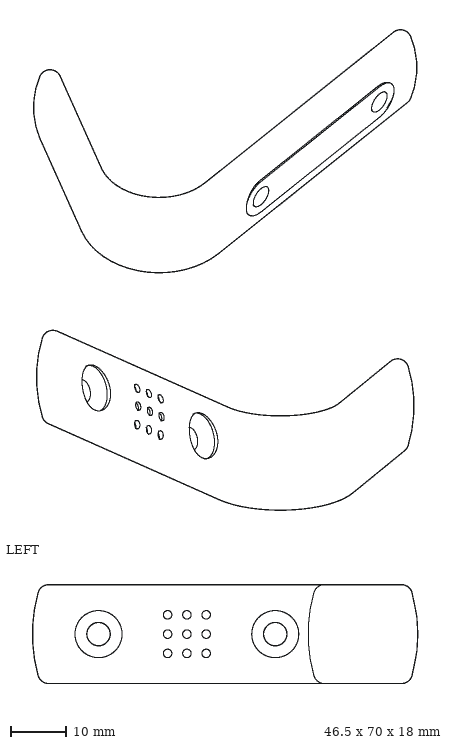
import cadquery as cq
import math

total_x = 46.5
total_y = 70.0
strip_width = 18.0
crest_half = 3.0
edge_radius = 2.0

bend_start_y = 15.9
bend_angle = 120.0

hole_spacing = 32.05
top_hole_y = 57.95
hole_diameter = 4.2
countersink_diameter = 8.55
countersink_angle = 90.0
countersink_rim_depth = 0.8

dimple_diameter = 1.55
dimple_pitch = 3.5
dimples_per_row = 3
middle_dimple_depth = 0.55
outer_dimple_depth = 1.1

pad_width = 8.0

bend_radius = bend_start_y - crest_half
leg_x = total_x - crest_half
leg_top_y = total_y - crest_half
bend_x = leg_x - bend_radius
bend_rad = math.radians(-bend_angle)
arm_start_x = bend_x + bend_radius * math.cos(bend_rad)
arm_start_y = bend_start_y + bend_radius * math.sin(bend_rad)
arm_slope = bend_angle - 90.0
arm_length = (arm_start_x - crest_half) / math.cos(math.radians(arm_slope))
hole_ys = (top_hole_y, top_hole_y - hole_spacing)
middle_y = top_hole_y - hole_spacing / 2
front_x = leg_x - crest_half

edge_center = strip_width / 2 - edge_radius
crest_rise = crest_half - edge_radius
face_radius = (edge_center**2 + crest_half**2 - edge_radius**2) / (2 * crest_rise)
face_center = crest_half - face_radius
tangent_angle = math.atan2(edge_center, -face_center)
tangent_x = edge_radius * math.cos(tangent_angle)
tangent_z = edge_center + edge_radius * math.sin(tangent_angle)


def section(plane):
    """Full cross-section, thickness along local x and width along local y."""
    return (
        cq.Workplane(plane)
        .moveTo(tangent_x, -tangent_z)
        .threePointArc((crest_half, 0), (tangent_x, tangent_z))
        .threePointArc((0, strip_width / 2), (-tangent_x, tangent_z))
        .threePointArc((-crest_half, 0), (-tangent_x, -tangent_z))
        .threePointArc((0, -strip_width / 2), (tangent_x, -tangent_z))
        .close()
    )


def rounded_end(plane):
    """Half of the cross-section spun half a turn about its width axis, bulging along the plane normal."""
    corner = edge_radius * math.sqrt(0.5)
    return (
        cq.Workplane(plane)
        .moveTo(0, -strip_width / 2)
        .threePointArc((corner, -edge_center - corner), (tangent_x, -tangent_z))
        .threePointArc((crest_half, 0), (tangent_x, tangent_z))
        .threePointArc((corner, edge_center + corner), (0, strip_width / 2))
        .close()
        .revolve(180, (0, 0, 0), (0, -1, 0))
    )


def strip():
    """Straight leg, bend, angled arm and the two rounded ends."""
    leg_plane = cq.Plane(origin=(leg_x, bend_start_y, 0), xDir=(1, 0, 0), normal=(0, 1, 0))
    leg_length = leg_top_y - bend_start_y
    leg = section(leg_plane).extrude(leg_length)
    bend = section(leg_plane).revolve(bend_angle, (-bend_radius, 0, 0), (-bend_radius, 1, 0))
    slope = math.radians(arm_slope)
    arm_plane = cq.Plane(
        origin=(arm_start_x, arm_start_y, 0),
        xDir=(math.sin(slope), math.cos(slope), 0),
        normal=(-math.cos(slope), math.sin(slope), 0),
    )
    arm = section(arm_plane).extrude(arm_length)
    leg_tip = leg_plane.toWorldCoords((0, 0, leg_length))
    leg_end = rounded_end(cq.Plane(leg_tip, leg_plane.xDir, leg_plane.zDir))
    arm_tip = arm_plane.toWorldCoords((0, 0, arm_length))
    arm_end = rounded_end(cq.Plane(arm_tip, arm_plane.xDir, arm_plane.zDir))
    return leg.union(bend).union(arm).union(leg_end).union(arm_end)


def mounting_pad():
    """Round-ended pad around both screw holes, from mid-thickness to the back crest."""
    return (
        cq.Workplane("YZ", origin=(leg_x, middle_y, 0))
        .slot2D(hole_spacing + pad_width, pad_width)
        .extrude(crest_half)
    )


def screw_hole(y):
    """Through hole with a conical seat sunk below a short cylindrical rim."""
    thickness = 2 * crest_half
    face = cq.Workplane("YZ", origin=(front_x, y, 0))
    hole = face.circle(hole_diameter / 2).extrude(thickness)
    rim = face.circle(countersink_diameter / 2).extrude(countersink_rim_depth)
    half_angle = math.radians(countersink_angle / 2)
    cone_depth = (countersink_diameter - hole_diameter) / 2 / math.tan(half_angle)
    cone = cq.Workplane(
        cq.Solid.makeCone(
            countersink_diameter / 2, hole_diameter / 2, cone_depth,
            cq.Vector(front_x + countersink_rim_depth, y, 0), cq.Vector(1, 0, 0),
        )
    )
    return hole.union(rim).union(cone)


def dimples():
    """Square grid of round, flat-bottomed recesses, deeper in the rows away from the crest."""
    depths_by_row = {-1: outer_dimple_depth, 0: middle_dimple_depth, 1: outer_dimple_depth}
    grid = cq.Workplane()
    for row, depth in depths_by_row.items():
        row_cut = (
            cq.Workplane("YZ", origin=(front_x, middle_y, row * dimple_pitch))
            .rarray(dimple_pitch, dimple_pitch, dimples_per_row, 1)
            .circle(dimple_diameter / 2)
            .extrude(depth)
        )
        grid = grid.add(row_cut)
    return grid.combine()


result = strip().union(mounting_pad()).cut(dimples())
for hole_y in hole_ys:
    result = result.cut(screw_hole(hole_y))